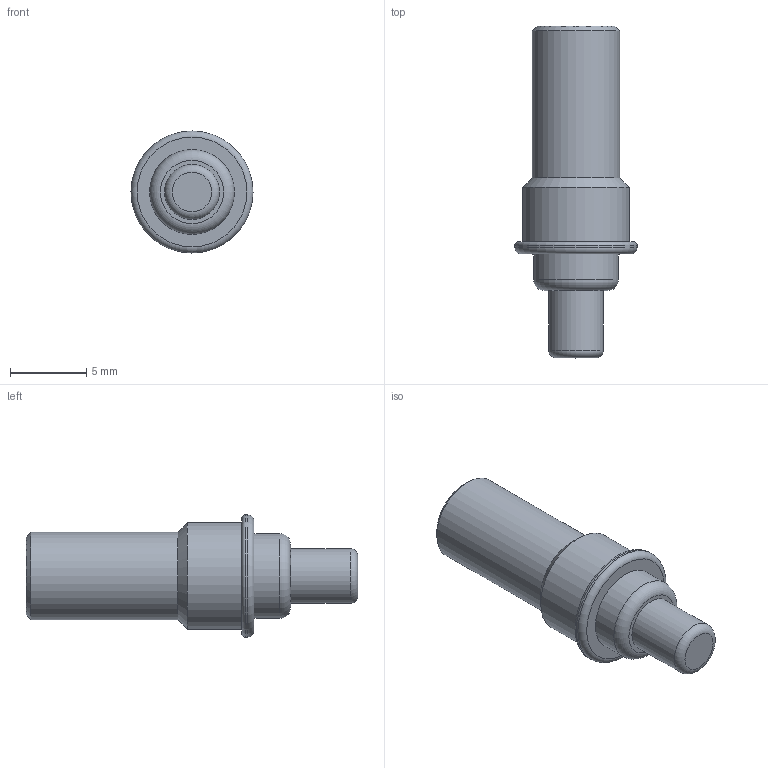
import cadquery as cq


shank_radius = 2.855
body_radius = 3.50
flange_radius = 4.005
nose_radius = 2.78
tip_radius = 1.80

overall_length = 21.76
tip_length = 4.42
nose_length = 2.40
flange_thickness = 0.80
body_length = 3.56
shoulder_length = body_radius - shank_radius

shank_chamfer = 0.30
flange_front_round = 0.41
flange_back_round = 0.25
nose_round = 0.70
tip_round = 0.50

nose_front = -nose_length
tip_front = nose_front - tip_length
flange_back = flange_thickness
body_back = flange_back + body_length
shank_start = body_back + shoulder_length
shank_end = tip_front + overall_length


def cylinder(radius, start, end):
    """Solid cylinder about the Y axis, from Y = start to Y = end."""
    return cq.Workplane("XZ", origin=(0, start, 0)).circle(radius).extrude(start - end)


def make_tip():
    return cylinder(tip_radius, tip_front, 0).faces("<Y").edges().fillet(tip_round)


def make_nose():
    return cylinder(nose_radius, nose_front, 0).faces("<Y").edges().fillet(nose_round)


def make_flange():
    disc = cylinder(flange_radius, 0, flange_back)
    disc = disc.faces("<Y").edges().fillet(flange_front_round)
    return disc.faces(">Y").edges().fillet(flange_back_round)


def make_body():
    """Cylindrical body that narrows through a cone to the shank radius."""
    profile = (
        cq.Workplane("XY")
        .moveTo(0, flange_back)
        .lineTo(body_radius, flange_back)
        .lineTo(body_radius, body_back)
        .lineTo(shank_radius, shank_start)
        .lineTo(0, shank_start)
        .close()
    )
    return profile.revolve(360, (0, 0, 0), (0, 1, 0))


def make_shank():
    return cylinder(shank_radius, shank_start, shank_end).faces(">Y").edges().chamfer(shank_chamfer)


result = make_tip().union(make_nose()).union(make_flange()).union(make_body()).union(make_shank())